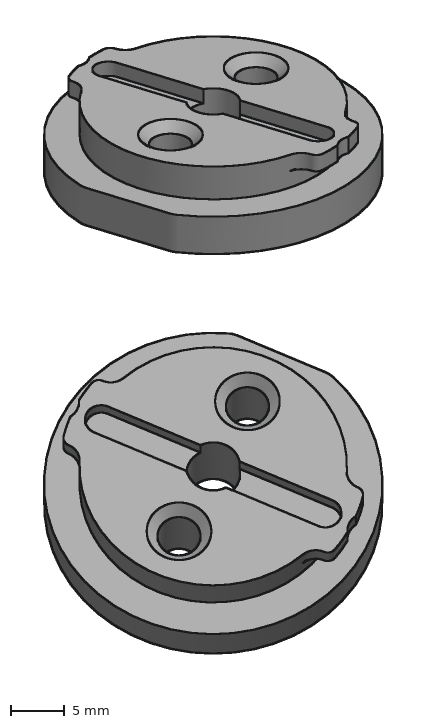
import cadquery as cq
import math

base_radius = 15.75
base_height = 4.0
flat_distance = 14.95
flat_corner_radius = 2.5

total_height = 7.5
boss_radius = 12.43
tab_thickness = 1.73
tab_outer_radius = 14.25
tab_half_width = 3.7
tab_root_radius = 1.75
tab_corner_radius = 0.85
notch_radius = 1.85
notch_bottom = 13.97

center_hole_diameter = 5.0
screw_hole_diameter = 4.0
countersink_diameter = 6.0
countersink_angle = 90.0
screw_offset = 7.5
slot_length = 26.0
slot_width = 3.0
slot_depth = 1.5


def make_base():
    """Disc cut by the flat, with the two corners of the flat rounded."""
    disc = cq.Workplane("XY").circle(base_radius).extrude(base_height)
    keep = cq.Workplane("XY").rect(2 * base_radius, 2 * base_radius).extrude(base_height)
    keep = keep.translate((0, base_radius - flat_distance, 0))
    flat_half_length = math.sqrt(base_radius**2 - flat_distance**2)
    trimmed = disc.intersect(keep)
    for side in (-1, 1):
        corner = cq.selectors.NearestToPointSelector(
            (side * flat_half_length, -flat_distance, base_height / 2)
        )
        trimmed = trimmed.edges("|Z").edges(corner).fillet(flat_corner_radius)
    return trimmed


def make_boss():
    """Plain raised disc, standing on the base."""
    return (
        cq.Workplane("XY", origin=(0, 0, base_height))
        .circle(boss_radius)
        .extrude(total_height - base_height)
    )


def make_tabs():
    """Pair of tabs with rounded corners, blended roots and a shallow notch in each end."""
    plane = cq.Workplane("XY", origin=(0, 0, total_height - tab_thickness))
    tabs = plane.circle(tab_outer_radius).extrude(tab_thickness)
    tabs = tabs.intersect(plane.rect(2 * tab_outer_radius, 2 * tab_half_width).extrude(tab_thickness))
    tabs = tabs.edges("|Z").fillet(tab_corner_radius)

    blend_y = tab_half_width + tab_root_radius
    blend_x = math.sqrt((boss_radius + tab_root_radius) ** 2 - blend_y**2)
    boss_touch = boss_radius / (boss_radius + tab_root_radius)
    touch_x = blend_x * boss_touch
    touch_y = blend_y * boss_touch
    web = plane.polyline(
        [
            (0, 0),
            (touch_x, touch_y),
            (blend_x, blend_y),
            (blend_x, tab_half_width),
            (blend_x, 0),
        ]
    ).close().extrude(tab_thickness)
    web = web.cut(plane.center(blend_x, blend_y).circle(tab_root_radius).extrude(tab_thickness))
    for half in (web, web.mirror("YZ")):
        tabs = tabs.union(half).union(half.mirror("XZ"))

    notch_center = notch_bottom + notch_radius
    notches = (
        plane.pushPoints([(-notch_center, 0), (notch_center, 0)])
        .circle(notch_radius)
        .extrude(tab_thickness)
    )
    return tabs.cut(notches)


def cut_openings(body):
    """Centre hole, two countersunk screw holes and the long shallow slot."""
    top = cq.Workplane("XY", origin=(0, 0, total_height))
    body = body.cut(top.circle(center_hole_diameter / 2).extrude(-total_height))
    body = body.cut(top.slot2D(slot_length, slot_width).extrude(-slot_depth))
    return (
        body.copyWorkplane(top)
        .pushPoints([(0, -screw_offset), (0, screw_offset)])
        .cskHole(screw_hole_diameter, countersink_diameter, countersink_angle)
    )


result = cut_openings(make_base().union(make_boss()).union(make_tabs()))